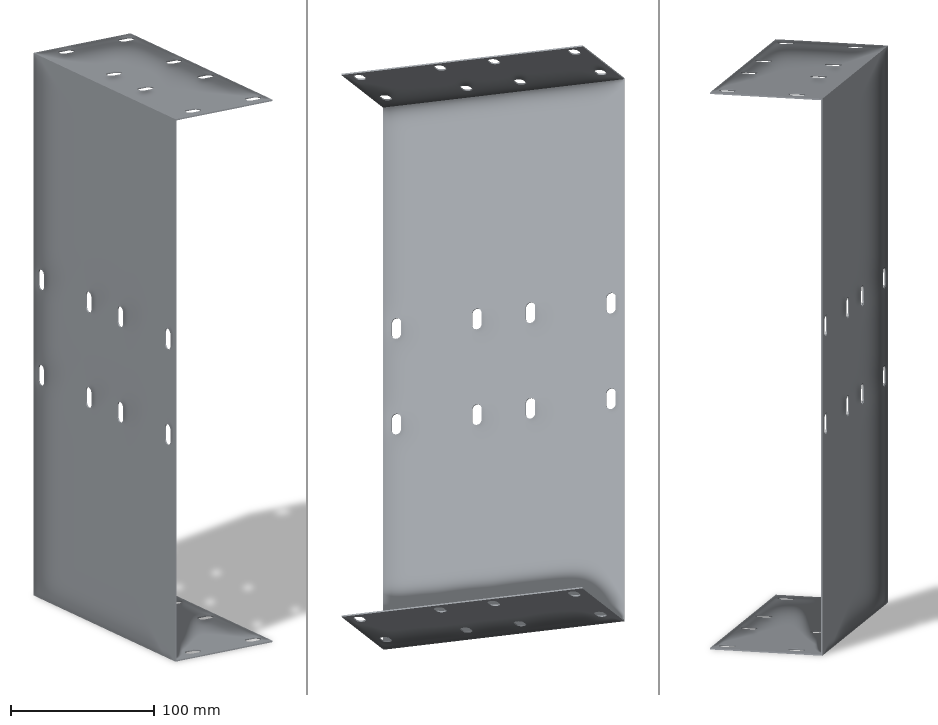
import cadquery as cq

width = 180.0
depth = 81.0
height = 396.7
sheet = 1.0

slot_width = 7.0
outer_column_spacing = 160.3
inner_column_spacing = 40.0
column_positions = [
    side * spacing / 2
    for spacing in (outer_column_spacing, inner_column_spacing)
    for side in (-1, 1)
]

web_slot_length = 15.0
web_row_spacing = 70.0

flange_slot_length = 12.0
flange_row_spacing = 50.0
free_edge_to_row = 10.0

front_y = -depth / 2
back_y = depth / 2
back_row_y = back_y - free_edge_to_row
front_row_y = back_row_y - flange_row_spacing


def make_channel():
    """Web with a square-cornered flange at the top and bottom."""
    outer = cq.Workplane("XY").box(width, depth, height)
    inner = cq.Workplane("XY").box(width, depth, height - 2 * sheet).translate((0, sheet, 0))
    return outer.cut(inner)


def make_web_slots():
    """Two rows of upright slots through the web, centred on its height."""
    centers = [(x, side * web_row_spacing / 2) for x in column_positions for side in (-1, 1)]
    return (
        cq.Workplane("XZ", origin=(0, front_y + sheet, 0))
        .pushPoints(centers)
        .slot2D(web_slot_length, slot_width, 90)
        .extrude(sheet)
    )


def make_flange_slots():
    """Two rows of slots running along Y through both flanges."""
    centers = [(x, y) for x in column_positions for y in (front_row_y, back_row_y)]
    return (
        cq.Workplane("XY", origin=(0, 0, -height / 2))
        .pushPoints(centers)
        .slot2D(flange_slot_length, slot_width, 90)
        .extrude(height)
    )


result = make_channel().cut(make_web_slots()).cut(make_flange_slots())